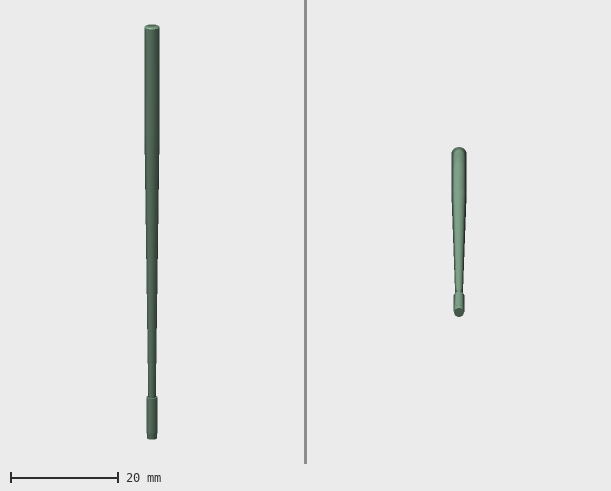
import cadquery as cq

total_length = 80.0

head_diameter = 2.05
head_length = 8.0
lead_length = 1.2
lead_root_diameter = 2.0
lead_tip_diameter = 1.8

grip_diameter = 2.8
grip_length = 21.0
grip_chamfer = 0.2
neck_diameter = 1.4

head_radius = head_diameter / 2
lead_root_radius = lead_root_diameter / 2
lead_tip_radius = lead_tip_diameter / 2
grip_radius = grip_diameter / 2
neck_radius = neck_diameter / 2
grip_bottom = total_length - grip_length

profile_plane = cq.Plane(origin=(0, 0, 0), xDir=(0, -1, 0), normal=(-1, 0, 0))


def revolve_about_z(profile):
    """Spin a list of (radius, height) points one full turn about the Z axis."""
    return cq.Workplane(profile_plane).polyline(profile).close().revolve(360, (0, 0), (0, 1))


def make_head():
    """Cutting head, standing on Z = 0 with its tapered lead at the bottom."""
    return revolve_about_z([
        (0, 0),
        (lead_tip_radius, 0),
        (lead_root_radius, lead_length),
        (head_radius, lead_length),
        (head_radius, head_length),
        (0, head_length),
    ])


def make_shank():
    """Shank on the flat top of the head: long cone, straight grip, chamfered end."""
    return revolve_about_z([
        (0, head_length),
        (neck_radius, head_length),
        (grip_radius, grip_bottom),
        (grip_radius, total_length - grip_chamfer),
        (grip_radius - grip_chamfer, total_length),
        (0, total_length),
    ])


head = make_head()
shank = make_shank()

result = cq.Compound.makeCompound([head.val(), shank.val()])